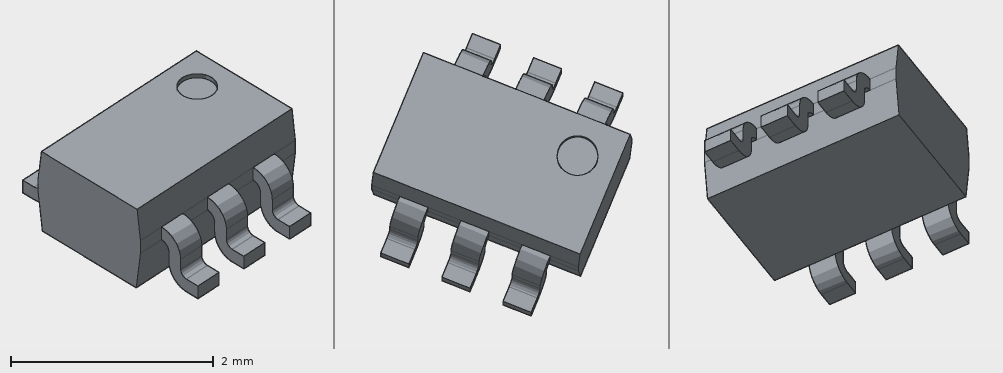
import cadquery as cq

body_length = 2.2
body_height = 1.0
top_half_width = 0.655
waist_half_width = 0.7
bottom_half_width = 0.643

lead_span = 2.4
lead_thickness = 0.16
lead_width = 0.3
lead_pitch = 0.65
leads_per_side = 3
lead_top = 0.63
foot_flat = 0.158
lower_inner_radius = 0.08

mark_diameter = 0.4
mark_depth = 0.05
mark_x = -0.26
mark_y = 0.7

tip = lead_span / 2
lead_underside = lead_top - lead_thickness
lower_outer_radius = lower_inner_radius + lead_thickness
lower_bend_x = tip - foot_flat
shank_outer_x = lower_bend_x - lower_inner_radius
shank_inner_x = shank_outer_x - lead_thickness
upper_outer_radius = shank_outer_x - waist_half_width
upper_inner_radius = upper_outer_radius - lead_thickness


def make_housing():
    """Molded housing with drafted sides, a vertical waist band and a pin-one recess."""
    right_side = [
        (bottom_half_width, 0),
        (waist_half_width, lead_underside),
        (waist_half_width, lead_top),
        (top_half_width, body_height),
    ]
    left_side = [(-x, z) for x, z in reversed(right_side)]
    block = (
        cq.Workplane("XZ")
        .polyline(right_side + left_side)
        .close()
        .extrude(body_length / 2, both=True)
    )
    mark = (
        cq.Workplane("XY", origin=(mark_x, mark_y, body_height - mark_depth))
        .circle(mark_diameter / 2)
        .extrude(mark_depth)
    )
    return block.cut(mark)


def make_lead(y):
    """Gull-wing lead on the +X side, centred at y and butting against the waist band."""
    return (
        cq.Workplane("XZ", origin=(0, y, 0))
        .moveTo(waist_half_width, lead_top)
        .radiusArc((shank_outer_x, lead_top - upper_outer_radius), upper_outer_radius)
        .lineTo(shank_outer_x, lower_outer_radius)
        .radiusArc((lower_bend_x, lead_thickness), -lower_inner_radius)
        .lineTo(tip, lead_thickness)
        .lineTo(tip, 0)
        .lineTo(lower_bend_x, 0)
        .radiusArc((shank_inner_x, lower_outer_radius), lower_outer_radius)
        .lineTo(shank_inner_x, lead_underside - upper_inner_radius)
        .radiusArc((waist_half_width, lead_underside), -upper_inner_radius)
        .close()
        .extrude(lead_width / 2, both=True)
    )


housing = make_housing()

leads = []
for row in range(leads_per_side):
    y_row = (row - (leads_per_side - 1) / 2) * lead_pitch
    lead = make_lead(y_row)
    leads.append(lead.val())
    leads.append(lead.mirror("YZ").val())

result = cq.Compound.makeCompound([housing.val(), *leads])